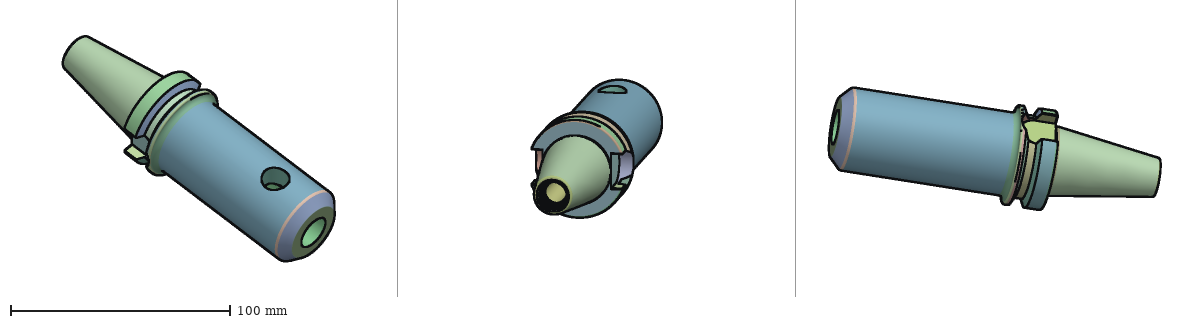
import cadquery as cq
import math

total_length = 150.4

gauge_radius = 16.1
taper_length = 48.7
taper_ratio = 7 / 24
nose_radius = gauge_radius - taper_length * taper_ratio / 2
nose_rounding = 1.0
neck_radius = 15.6
neck_step_x = 50.4

flange_radius = 23.0
flange_start_x = 50.8
groove_start_x = 58.4
groove_floor_start_x = 60.3
groove_floor_end_x = 64.0
groove_end_x = 66.2
flange_end_x = 68.5
flange_edge_rounding = 0.9
flange_root_radius = 2.7

body_radius = 19.3
end_bevel_start_x = 144.5
end_face_radius = 14.1
end_edge_rounding = 0.5

slot_width = 16.1
slot_floor_y = 16.1
slot_end_x = 68.1
slot_edge_chamfer = 0.5

thread_bore_diameter = 10.1
pilot_diameter = 12.5
pilot_start_depth = 1.2
pilot_depth = 4.4
mouth_diameter = 15.0
lip_diameter = 13.1
lip_depth = 0.6
relief_diameter = 11.5
relief_start_depth = 5.4
relief_depth = 6.9
tool_bore_diameter = 16.0
tool_bore_depth = 49.6

screw_diameter = 12.8
screw_x = 126.5


def make_body():
    """Revolve the outer outline around the X axis."""
    bevel_height = body_radius - end_face_radius
    bevel_corner_x = total_length - bevel_height
    root_top_radius = body_radius + flange_root_radius
    root_end_x = flange_end_x + flange_root_radius
    arc_offset = flange_root_radius * (1 - math.sqrt(0.5))
    outline = (
        cq.Workplane("XY")
        .lineTo(0, nose_radius)
        .lineTo(taper_length, gauge_radius)
        .lineTo(neck_step_x, gauge_radius)
        .lineTo(neck_step_x, neck_radius)
        .lineTo(flange_start_x, neck_radius)
        .lineTo(flange_start_x, flange_radius)
        .lineTo(groove_start_x, flange_radius)
        .lineTo(groove_floor_start_x, body_radius)
        .lineTo(groove_floor_end_x, body_radius)
        .lineTo(groove_end_x, flange_radius)
        .lineTo(flange_end_x, flange_radius)
        .lineTo(flange_end_x, root_top_radius)
        .threePointArc(
            (flange_end_x + arc_offset, body_radius + arc_offset),
            (root_end_x, body_radius),
        )
        .lineTo(bevel_corner_x, body_radius)
        .lineTo(total_length, end_face_radius)
        .lineTo(total_length, 0)
        .close()
    )
    body = outline.revolve(360, (0, 0, 0), (1, 0, 0))
    body = round_circle(body, 0, nose_radius, nose_rounding)
    body = round_circle(body, flange_start_x, flange_radius, flange_edge_rounding)
    body = round_circle(body, flange_end_x, flange_radius, flange_edge_rounding)
    end_bevel_blend = (bevel_corner_x - end_bevel_start_x) / math.tan(math.pi / 8)
    body = round_circle(body, bevel_corner_x, body_radius, end_bevel_blend)
    return round_circle(body, total_length, end_face_radius, end_edge_rounding)


def round_circle(solid, x, radius, rounding):
    """Fillet the circular edge that lies at the given X and radius."""
    reach = 0.02
    corner = cq.selectors.BoxSelector(
        (x - reach, -radius - 1.5, -radius - 1.5),
        (x + reach, radius + 1.5, radius + 1.5),
        boundingbox=True,
    )
    edges = [e for e in solid.edges(corner).vals() if abs(e.radius() - radius) < reach]
    return solid.newObject(edges).fillet(rounding)


def drive_slot(side):
    """Round-ended cutter for the slot on the +Y (1) or -Y (-1) side."""
    arc_center_x = slot_end_x - slot_width / 2
    half_width = slot_width / 2
    return (
        cq.Workplane("XZ", origin=(0, side * slot_floor_y, 0))
        .moveTo(flange_start_x, -half_width)
        .lineTo(arc_center_x, -half_width)
        .threePointArc((slot_end_x, 0), (arc_center_x, half_width))
        .lineTo(flange_start_x, half_width)
        .close()
        .extrude(-side * flange_radius)
    )


def chamfer_slot_edges(solid):
    """Break the front edges of the slot walls and the rim edges that run on from them."""
    reach = 0.02
    half_width = slot_width / 2
    rim_reach = math.sqrt(flange_radius**2 - half_width**2)
    edges = []
    for side_y in (1, -1):
        for side_z in (1, -1):
            wall_edges = cq.selectors.BoxSelector(
                (flange_start_x - reach, side_y * (slot_floor_y + 1.5), side_z * half_width - reach),
                (groove_start_x - reach, side_y * (rim_reach + reach), side_z * half_width + reach),
            )
            edges += solid.edges(wall_edges).vals()
    return solid.newObject(edges).chamfer(slot_edge_chamfer)


def axial_bores():
    """Stepped bore along the axis: countersunk mouth, pilot, relief, thread core, tool bore."""
    mouth_radius = mouth_diameter / 2
    pilot_radius = pilot_diameter / 2
    thread_radius = thread_bore_diameter / 2
    tool_radius = tool_bore_diameter / 2
    lip_radius = lip_diameter / 2
    relief_radius = relief_diameter / 2
    tool_bore_x = total_length - tool_bore_depth
    return (
        cq.Workplane("XY")
        .lineTo(0, mouth_radius)
        .lineTo(lip_depth, lip_radius)
        .lineTo(pilot_start_depth, pilot_radius)
        .lineTo(pilot_depth, pilot_radius)
        .lineTo(relief_start_depth, relief_radius)
        .lineTo(relief_depth, relief_radius)
        .lineTo(relief_depth, thread_radius)
        .lineTo(tool_bore_x, thread_radius)
        .lineTo(tool_bore_x, tool_radius)
        .lineTo(total_length, tool_radius)
        .lineTo(total_length, 0)
        .close()
        .revolve(360, (0, 0, 0), (1, 0, 0))
    )


screw_hole = (
    cq.Workplane("XY", origin=(screw_x, 0, 0))
    .circle(screw_diameter / 2)
    .extrude(flange_radius)
)

result = make_body()
for side in (1, -1):
    result = result.cut(drive_slot(side))
result = chamfer_slot_edges(result)
result = result.cut(axial_bores()).cut(screw_hole)